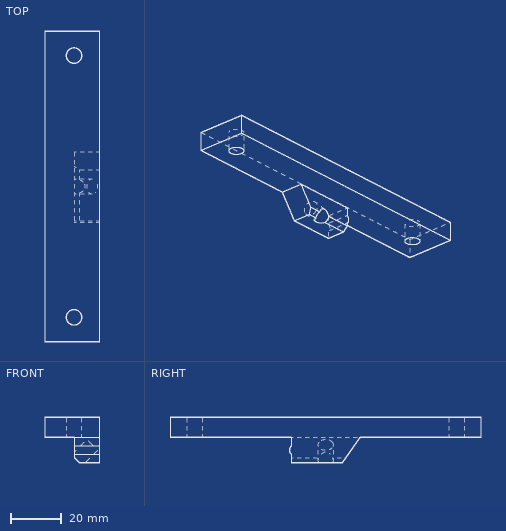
import cadquery as cq
import math

plate_width = 21.6
plate_length = 122.0
plate_thickness = 8.0

mount_hole_diameter = 6.0
mount_hole_spacing = 102.8
mount_hole_x = 11.5

block_width = 10.0
block_height = 10.0
block_top_length = 27.0
block_slope_angle = 35.0
block_edge_chamfer = 2.0

slant_hole_diameter = 6.0
slant_hole_angle = 45.0
slant_hole_depth = 10.0

rib_radius = 2.25
rib_projection = 0.75
rib_height = block_height / 2

block_x = plate_width - block_width
block_end_y = -block_top_length / 2


def make_plate():
    plate = cq.Workplane("XY").box(
        plate_width, plate_length, plate_thickness, centered=(False, True, False)
    )
    holes = (
        cq.Workplane("XY")
        .pushPoints([(mount_hole_x, side * mount_hole_spacing / 2) for side in (-1, 1)])
        .circle(mount_hole_diameter / 2)
        .extrude(plate_thickness)
    )
    return plate.cut(holes).translate((0, 0, block_height))


def make_block():
    slope_run = block_height * math.tan(math.radians(block_slope_angle))
    top_far_y = block_end_y + block_top_length
    block = (
        cq.Workplane("YZ", origin=(block_x, 0, 0))
        .moveTo(block_end_y, 0)
        .lineTo(top_far_y - slope_run, 0)
        .lineTo(top_far_y, block_height)
        .lineTo(block_end_y, block_height)
        .close()
        .extrude(block_width)
    )
    return block.faces("<X").edges("<Z").chamfer(block_edge_chamfer)


def make_rib():
    axis_y = block_end_y - rib_projection + rib_radius
    return (
        cq.Workplane("YZ", origin=(block_x, 0, 0))
        .center(axis_y, rib_height)
        .circle(rib_radius)
        .extrude(block_width)
    )


def make_slant_hole():
    angle = math.radians(slant_hole_angle)
    direction = cq.Vector(math.cos(angle), 0, math.sin(angle))
    start = cq.Vector(block_x, 0, 0) - direction * slant_hole_depth
    return cq.Solid.makeCylinder(
        slant_hole_diameter / 2, 2 * slant_hole_depth, start, direction
    )


block = make_block().union(make_rib()).cut(make_slant_hole())
result = make_plate().union(block)